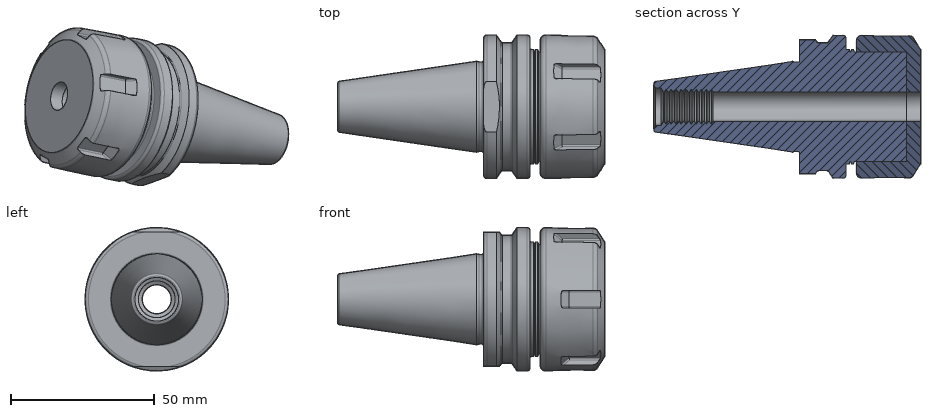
import cadquery as cq


gauge_radius = 31.75 / 2
taper_length = 48.4
taper_slope = 7 / 48
small_end_radius = gauge_radius - taper_slope * taper_length
small_end_round = 0.9
small_end = -taper_length

neck_radius = 15.65
neck_start = 0.9
neck_root_round = 0.5

flange_radius = 25.0
flange_start = 2.4
flange_corner_round = 1.2
front_rim_end = flange_start + 4.5
groove_radius = 22.3
groove_start = front_rim_end + 1.8
groove_end = groove_start + 3.6
groove_root_round = 0.6
rear_rim_start = groove_end + 1.7
flange_end = 18.6
flange_end_round = 1.0
spigot_root_round = 0.4
flat_height = 23.4
flat_end = groove_start

spigot_radius = 20.0
thread_pitch = 1.5
thread_depth = 0.9
thread_flank = thread_pitch / 4
thread_groove_center = flange_end + thread_pitch
thread_start = thread_groove_center + thread_pitch
spigot_root_radius = spigot_radius - thread_depth

nut_radius = 25.0
nut_start = 22.1
nut_end = 93.08 - taper_length
nut_back_round = 2.0
nut_nose_radius = 20.1
nut_nose_chamfer = 0.2
nut_shoulder_radius = 24.77
nut_shoulder_round = 2.0
nose_cone_slope = 1.6
nose_cone_end = nut_end - nut_nose_chamfer
nose_cone_start = nose_cone_end - (nut_shoulder_radius - nut_nose_radius) / nose_cone_slope
nut_lip_thickness = 5.0
spigot_end = nut_end - nut_lip_thickness

slot_count = 6
slot_width = 6.0
slot_floor_radius = 22.1
slot_floor_round = 0.5
slot_ramp_length = 2.9
long_slot_start = nut_start + 4.7
short_slot_start = long_slot_start + 2.5
long_slot_angles = (60, 120)

bore_radius = 5.0
counterbore_radius = 6.4
counterbore_depth = 2.6
counterbore_end = small_end + counterbore_depth
mouth_radius = 7.6
mouth_depth = 0.7
drawbar_thread_pitch = 1.75
drawbar_thread_radius = 6.0
drawbar_thread_turns = 10
drawbar_groove_half_width = 0.6
counterbore_floor_cone_length = 0.9
drawbar_thread_start = counterbore_end + counterbore_floor_cone_length


def revolve_about_x(profile):
    """Turn a closed (X, radius) profile once around the X axis."""
    return profile.close().revolve(360, (0, 0, 0), (1, 0, 0))


def ring_edges(body, x, radius):
    """Select the circular edges of a turned body that lie at x with the given radius."""
    tolerance = 0.01
    half = radius + tolerance
    corner_low = (x - tolerance, -half, -half)
    corner_high = (x + tolerance, half, half)
    rings = body.edges(cq.selectors.BoxSelector(corner_low, corner_high, boundingbox=True)).edges("%CIRCLE")
    return rings.filter(lambda ring: abs(ring.radius() - radius) < tolerance)


def make_holder():
    profile = (
        cq.Workplane("XY")
        .moveTo(small_end, mouth_radius)
        .lineTo(small_end, small_end_radius)
        .lineTo(0, gauge_radius)
        .lineTo(neck_start, neck_radius)
        .lineTo(flange_start, neck_radius)
        .lineTo(flange_start, flange_radius)
        .lineTo(front_rim_end, flange_radius)
        .lineTo(groove_start, groove_radius)
        .lineTo(groove_end, groove_radius)
        .lineTo(rear_rim_start, flange_radius)
        .lineTo(flange_end, flange_radius)
        .lineTo(flange_end, spigot_radius)
        .lineTo(thread_groove_center - thread_flank, spigot_radius)
        .lineTo(thread_groove_center, spigot_root_radius)
        .lineTo(thread_groove_center + thread_flank, spigot_radius)
        .lineTo(thread_start - thread_flank, spigot_radius)
        .lineTo(thread_start, spigot_root_radius)
        .lineTo(spigot_end, spigot_root_radius)
        .lineTo(spigot_end, bore_radius)
        .lineTo(drawbar_thread_start, bore_radius)
        .lineTo(counterbore_end, counterbore_radius)
        .lineTo(small_end + mouth_depth, counterbore_radius)
    )
    holder = revolve_about_x(profile)
    rounds = (
        (small_end, small_end_radius, small_end_round),
        (flange_start, neck_radius, neck_root_round),
        (flange_start, flange_radius, flange_corner_round),
        (groove_start, groove_radius, groove_root_round),
        (groove_end, groove_radius, groove_root_round),
        (flange_end, flange_radius, flange_end_round),
        (flange_end, spigot_radius, spigot_root_round),
    )
    for x, radius, size in rounds:
        holder = ring_edges(holder, x, radius).fillet(size)
    for side in (1, -1):
        holder = holder.cut(flat_cutter(side))
    for turn in range(drawbar_thread_turns):
        center = drawbar_thread_start + (turn + 0.5) * drawbar_thread_pitch
        holder = holder.cut(drawbar_groove(center))
    return holder


def flat_cutter(side):
    """Block outside one flat of the front flange, at +Z or -Z."""
    length = flat_end - flange_start
    height = flange_radius
    center = (flange_start + length / 2, 0, side * (flat_height + height / 2))
    return cq.Workplane("XY").box(length, 2 * flange_radius, height).translate(center)


def drawbar_groove(center):
    """V-shaped ring cut into the bore wall; a row of them stands for the drawbar thread."""
    profile = (
        cq.Workplane("XY")
        .moveTo(center - drawbar_groove_half_width, 0)
        .lineTo(center - drawbar_groove_half_width, bore_radius)
        .lineTo(center, drawbar_thread_radius)
        .lineTo(center + drawbar_groove_half_width, bore_radius)
        .lineTo(center + drawbar_groove_half_width, 0)
    )
    return revolve_about_x(profile)


def slot_cutter(start):
    """Spanner slot on the +Y side: a run-in ramp, a flat floor and an open end at the nose."""
    ramp_top_radius = slot_floor_radius + slot_ramp_length
    slot = (
        cq.Workplane("XY")
        .moveTo(start, ramp_top_radius)
        .lineTo(start + slot_ramp_length, slot_floor_radius)
        .lineTo(nut_end, slot_floor_radius)
        .lineTo(nut_end, ramp_top_radius)
        .close()
        .extrude(slot_width / 2, both=True)
    )
    ramp_and_floor = slot.faces("<X or <Y")
    return ramp_and_floor.edges("<Z or >Z").fillet(slot_floor_round)


def make_nut():
    profile = (
        cq.Workplane("XY")
        .moveTo(nut_start, spigot_root_radius)
        .lineTo(nut_start, nut_radius - nut_back_round)
        .radiusArc((nut_start + nut_back_round, nut_radius), nut_back_round)
        .lineTo(nose_cone_start, nut_shoulder_radius)
        .lineTo(nose_cone_end, nut_nose_radius)
        .lineTo(nut_end, nut_nose_radius - nut_nose_chamfer)
        .lineTo(nut_end, bore_radius)
        .lineTo(spigot_end, bore_radius)
        .lineTo(spigot_end, spigot_root_radius)
    )
    nut = revolve_about_x(profile)
    nut = ring_edges(nut, nose_cone_start, nut_shoulder_radius).fillet(nut_shoulder_round)
    for index in range(slot_count):
        angle = index * 360 / slot_count
        start = long_slot_start if angle in long_slot_angles else short_slot_start
        nut = nut.cut(slot_cutter(start).rotate((0, 0, 0), (1, 0, 0), angle))
    return nut


holder = make_holder()
nut = make_nut()
result = cq.Compound.makeCompound([holder.val(), nut.val()])